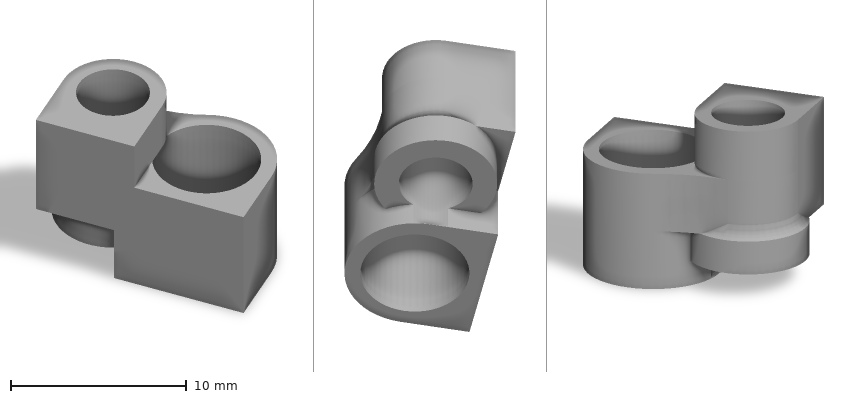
import cadquery as cq
import math

bore_spacing = 5.8
front_depth = 4.0

small_bore_radius = 2.1
small_outer_radius = 3.05
large_bore_radius = 3.1
large_outer_radius = 4.0
collar_radius = 3.5
collar_fillet_radius = 1.0
neck_radius = 8.8

floor_thickness = 0.01
collar_bottom = 1.5
arm_bottom = 3.5
housing_top = 7.0
cap_top = 10.0


def cylinder(x, radius, bottom, top):
    return cq.Workplane("XY", origin=(x, 0, bottom)).circle(radius).extrude(top - bottom)


def arch(x, radius, bottom, top):
    """Block with a flat -Y side and a half-round +Y end centred on a bore."""
    return (
        cq.Workplane("XY", origin=(x, 0, bottom))
        .moveTo(-radius, -front_depth)
        .lineTo(radius, -front_depth)
        .lineTo(radius, 0)
        .threePointArc((0, radius), (-radius, 0))
        .close()
        .extrude(top - bottom)
    )


def neck():
    """Web joining the two arches, its +Y side blended tangentially into the large one."""
    center_y = small_outer_radius + neck_radius
    center_distance = large_outer_radius + neck_radius
    center_x = bore_spacing - math.sqrt(center_distance**2 - center_y**2)
    share = large_outer_radius / center_distance
    end = (bore_spacing + share * (center_x - bore_spacing), share * center_y)
    half_sweep = math.atan2(end[0] - center_x, center_y - end[1]) / 2
    middle = (
        center_x + neck_radius * math.sin(half_sweep),
        center_y - neck_radius * math.cos(half_sweep),
    )
    return (
        cq.Workplane("XY", origin=(0, 0, arm_bottom))
        .moveTo(0, -front_depth)
        .lineTo(bore_spacing, -front_depth)
        .lineTo(bore_spacing, 0)
        .lineTo(*end)
        .threePointArc(middle, (center_x, small_outer_radius))
        .lineTo(0, small_outer_radius)
        .close()
        .extrude(housing_top - arm_bottom)
    )


def collar():
    """Round rim whose top sweeps up to the arm in a fillet that runs out at the rim edge."""
    r = collar_fillet_radius
    overhang = collar_radius - small_outer_radius
    rise = math.sqrt(r**2 - (r - overhang) ** 2)
    fillet_top = arm_bottom + rise
    half_angle = math.asin(rise / r) / 2
    middle = (
        small_outer_radius + r * (1 - math.cos(half_angle)),
        fillet_top - r * math.sin(half_angle),
    )
    return (
        cq.Workplane("XZ")
        .moveTo(0, collar_bottom)
        .lineTo(collar_radius, collar_bottom)
        .lineTo(collar_radius, arm_bottom)
        .threePointArc(middle, (small_outer_radius, fillet_top))
        .lineTo(0, fillet_top)
        .close()
        .revolve(360, (0, 0, 0), (0, 1, 0))
    )


def make_housing():
    body = (
        arch(bore_spacing, large_outer_radius, 0, housing_top)
        .union(arch(0, small_outer_radius, arm_bottom, housing_top))
        .union(neck())
        .union(collar())
    )
    return (
        body.cut(cylinder(0, small_bore_radius, floor_thickness, housing_top))
        .cut(cylinder(bore_spacing, large_bore_radius, 0, housing_top))
    )


def make_cap():
    return (
        arch(0, small_outer_radius, housing_top, cap_top)
        .cut(cylinder(0, small_bore_radius, housing_top, cap_top))
    )


housing = make_housing()
cap = make_cap()

result = cq.Compound.makeCompound([housing.val(), cap.val()])